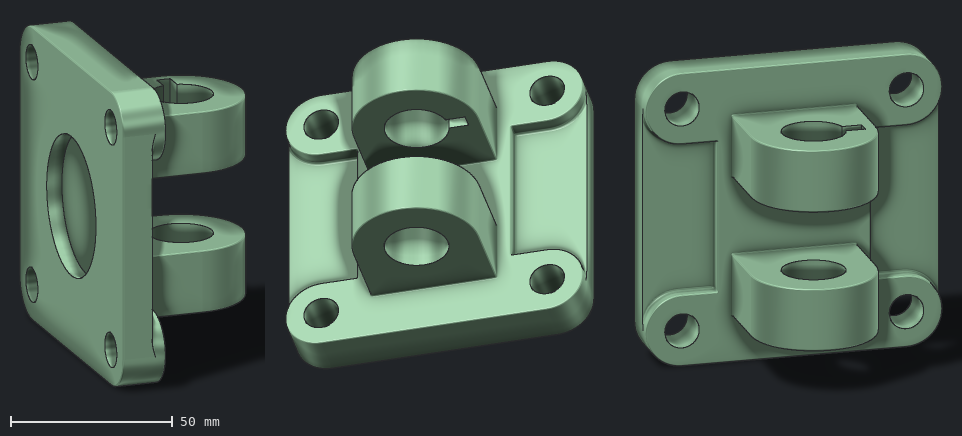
import cadquery as cq
import math

plate_size = 95.0
plate_thickness = 14.0
hole_spacing = 72.0
hole_diameter = 11.0
edge_round = 0.5
plate_half = plate_size / 2
hole_offset = hole_spacing / 2
corner_radius = plate_half - hole_offset

pocket_diameter = 45.0
pocket_depth = 5.0

relief_depth = 4.5
relief_floor_fillet = 1.0
relief_corner_fillet = 0.5
relief_half_height = hole_offset - corner_radius
web_half_width = relief_half_height
relief_overrun = 5.0
relief_outer_x = plate_half + relief_overrun

lug_radius = 20.0
lug_thickness = 20.0
lug_gap = 25.0
bore_diameter = 20.0
bore_height = 22.0
lug_root_fillet = 0.5
bore_y = plate_thickness + bore_height
upper_lug_z = lug_gap / 2
lower_lug_z = -upper_lug_z - lug_thickness

keyway_reach = 16.0
keyway_width = 4.4


def front_plane(y):
    """XZ workplane at the given Y; its normal is -Y."""
    return cq.Workplane("XZ", origin=(0, y, 0))


def make_relief():
    """Cutter for the -X side relief; it runs out past the side of the plate."""
    arc_middle = hole_offset + corner_radius * math.sqrt(0.5)
    arc_middle_z = hole_offset - corner_radius * math.sqrt(0.5)
    cutter = (
        front_plane(plate_thickness)
        .moveTo(-web_half_width, -relief_half_height)
        .lineTo(-hole_offset, -relief_half_height)
        .threePointArc((-arc_middle, -arc_middle_z), (-plate_half, -hole_offset))
        .lineTo(-relief_outer_x, -hole_offset)
        .lineTo(-relief_outer_x, hole_offset)
        .lineTo(-plate_half, hole_offset)
        .threePointArc((-arc_middle, arc_middle_z), (-hole_offset, relief_half_height))
        .lineTo(-web_half_width, relief_half_height)
        .close()
        .extrude(relief_depth)
    )
    cutter = cutter.edges(">X and |Y").fillet(relief_corner_fillet)
    return cutter.faces("<Y").edges("not <X").fillet(relief_floor_fillet)


def make_plate():
    """Rounded square plate with both side reliefs and rounded front and back edges."""
    plate = front_plane(0).rect(plate_size, plate_size).extrude(-plate_thickness)
    plate = plate.edges("|Y").fillet(corner_radius)
    relief = make_relief()
    plate = plate.cut(relief).cut(relief.mirror("YZ"))
    plate = plate.faces("<Y").edges().fillet(edge_round)
    return plate.faces(">Y").edges().fillet(edge_round)


def make_lug(bottom_z):
    """Round-ended lug standing on the back face, with its outline edges rounded."""
    lug = (
        cq.Workplane("XY", origin=(0, 0, bottom_z))
        .moveTo(-lug_radius, plate_thickness)
        .lineTo(-lug_radius, bore_y)
        .threePointArc((0, bore_y + lug_radius), (lug_radius, bore_y))
        .lineTo(lug_radius, plate_thickness)
        .close()
        .extrude(lug_thickness)
    )
    return lug.faces("|Z").edges("not <Y").fillet(edge_round)


def fillet_lug_roots(body):
    """Fillet the joint between the lugs and the back face of the plate."""
    reach = lug_radius + lug_root_fillet
    height = upper_lug_z + lug_thickness + lug_root_fillet
    root_zone = cq.selectors.BoxSelector(
        (-reach, plate_thickness - lug_root_fillet, -height),
        (reach, plate_thickness + lug_root_fillet, height),
        boundingbox=True,
    )
    return body.edges(root_zone).fillet(lug_root_fillet)


def cut_mounting_holes(body):
    """Four through holes at the plate corners."""
    holes = front_plane(0).rect(hole_spacing, hole_spacing, forConstruction=True).vertices()
    return body.cut(holes.circle(hole_diameter / 2).extrude(-plate_thickness))


def cut_front_pocket(body):
    """Shallow round pocket in the middle of the front face."""
    return body.cut(front_plane(0).circle(pocket_diameter / 2).extrude(-pocket_depth))


def cut_bore_and_keyway(body):
    """Pin bore through both lugs, and the keyway on its -X side."""
    bore_length = lug_gap + 2 * lug_thickness
    bore = cq.Workplane("XY", origin=(0, bore_y, lower_lug_z)).circle(bore_diameter / 2).extrude(bore_length)
    keyway = (
        cq.Workplane("XY", origin=(-keyway_reach / 2, bore_y, upper_lug_z))
        .rect(keyway_reach, keyway_width)
        .extrude(lug_thickness)
    )
    return body.cut(bore).cut(keyway)


result = make_plate().union(make_lug(lower_lug_z)).union(make_lug(upper_lug_z))
result = fillet_lug_roots(result)
result = cut_mounting_holes(result)
result = cut_front_pocket(result)
result = cut_bore_and_keyway(result)